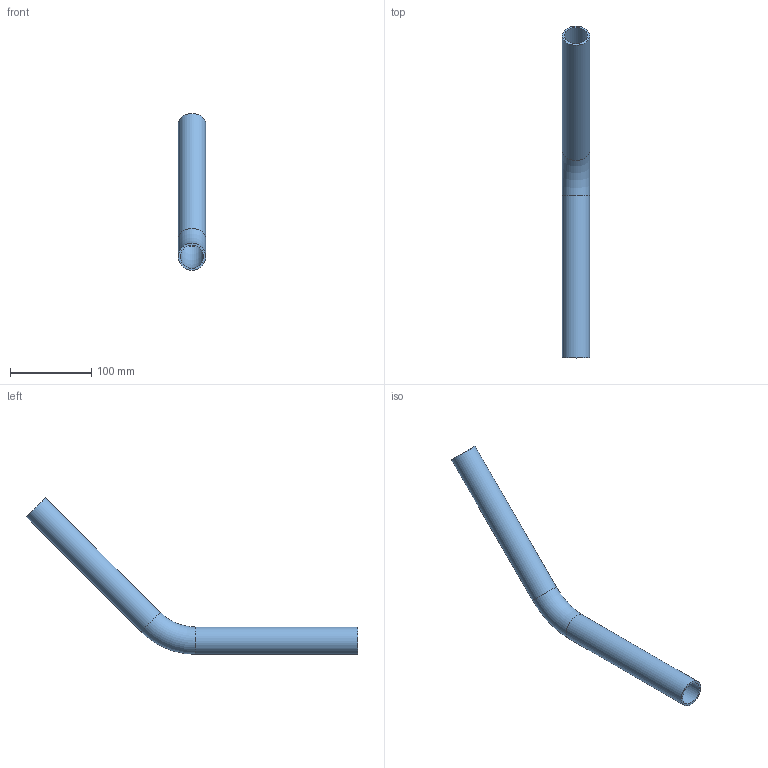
import cadquery as cq
import math

outer_diameter = 33.7
wall_thickness = 2.6
leg_length = 200.0
bend_radius = 78.0
bend_angle = 45.0

outer_radius = outer_diameter / 2
inner_radius = outer_radius - wall_thickness


def bend_point(angle_degrees):
    """Centreline point (Y, Z) at the given angle into the bend, which starts at the origin."""
    angle = math.radians(angle_degrees)
    return (bend_radius * math.sin(angle), bend_radius * (1 - math.cos(angle)))


def make_centreline():
    """Level leg along +Y, upward bend, then the inclined leg."""
    bend_end = bend_point(bend_angle)
    slope = math.radians(bend_angle)
    leg_end = (
        bend_end[0] + leg_length * math.cos(slope),
        bend_end[1] + leg_length * math.sin(slope),
    )
    return (
        cq.Workplane("YZ")
        .moveTo(-leg_length, 0)
        .lineTo(0, 0)
        .threePointArc(bend_point(bend_angle / 2), bend_end)
        .lineTo(*leg_end)
    )


def make_tube():
    """Sweep the annular section along the centreline from the free end of the level leg."""
    section = (
        cq.Workplane("XZ", origin=(0, -leg_length, 0))
        .circle(outer_radius)
        .circle(inner_radius)
    )
    return section.sweep(make_centreline())


result = make_tube()